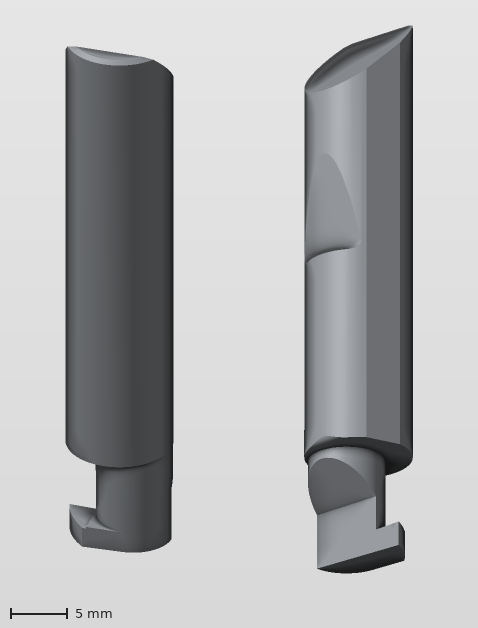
import cadquery as cq
import math

LENGTH = 50.8
SHANK_RADIUS = 4.8
SHANK_BOTTOM = 9.55
TOP_CHAMFER_HEIGHT = 0.3
TOP_CHAMFER_WIDTH = 0.45
TOP_SLOPE_START_Y = -3.0
SIDE_FLAT_TURN = 41.6
HEEL_ROUND = 0.6

NOTCH_BOTTOM = 27.5
NOTCH_TOP = 37.0
NOTCH_DEPTH = 1.4
NOTCH_ROUND = 0.8

NECK_RADIUS = 3.4
NECK_X = SHANK_RADIUS - NECK_RADIUS
NECK_SLOPE_BOTTOM = 5.35

TIP_X = -4.6
HEAD_TOP = 2.25
CORNER_X = -2.65
CORNER_Y = -3.15
HEAD_FRONT_X = -2.4
FLANK_BULGE = 0.25
CLEARANCE_X = 1.5
CLEARANCE_Y = 1.8

CUT_SPAN = 4 * SHANK_RADIUS


def cut_along_x(profile):
    """Extrude a closed YZ outline through the whole width of the part."""
    return profile.close().extrude(CUT_SPAN / 2, both=True)


def make_shank():
    shank = cq.Workplane("XY").workplane(offset=SHANK_BOTTOM).circle(SHANK_RADIUS)
    shank = shank.extrude(LENGTH - SHANK_BOTTOM)
    shank = shank.faces(">Z").chamfer(TOP_CHAMFER_HEIGHT, TOP_CHAMFER_WIDTH)

    flat_angle = 180 - SIDE_FLAT_TURN / 2
    flat_distance = SHANK_RADIUS * math.cos(math.radians(SIDE_FLAT_TURN / 2))
    flat_cutter = cq.Workplane("XY").box(CUT_SPAN, CUT_SPAN, LENGTH, centered=(False, True, False))
    flat_cutter = flat_cutter.translate((flat_distance, 0, 0))
    flat_cutter = flat_cutter.rotate((0, 0, 0), (0, 0, 1), flat_angle)
    return shank.cut(flat_cutter)


def make_end_slope():
    end_y = TOP_SLOPE_START_Y + CUT_SPAN
    return cut_along_x(
        cq.Workplane("YZ")
        .moveTo(TOP_SLOPE_START_Y, LENGTH)
        .lineTo(end_y, LENGTH - CUT_SPAN)
        .lineTo(end_y, LENGTH)
    )


def make_heel_cutter():
    arc_y = SHANK_RADIUS - HEEL_ROUND
    arc_z = SHANK_BOTTOM + HEEL_ROUND
    diagonal = HEEL_ROUND * math.sqrt(0.5)
    return cut_along_x(
        cq.Workplane("YZ")
        .moveTo(arc_y, SHANK_BOTTOM)
        .threePointArc((arc_y + diagonal, arc_z - diagonal), (SHANK_RADIUS, arc_z))
        .lineTo(SHANK_RADIUS, SHANK_BOTTOM)
    )


def make_notch():
    notch = cut_along_x(
        cq.Workplane("YZ")
        .moveTo(SHANK_RADIUS, NOTCH_TOP)
        .lineTo(SHANK_RADIUS - NOTCH_DEPTH, NOTCH_BOTTOM)
        .lineTo(SHANK_RADIUS, NOTCH_BOTTOM)
    )
    return notch.edges("|X").edges("<Y").fillet(NOTCH_ROUND)


def make_neck():
    neck = cq.Workplane("XY").center(NECK_X, 0).circle(NECK_RADIUS).extrude(SHANK_BOTTOM)
    relief = cut_along_x(
        cq.Workplane("YZ")
        .lineTo(0, NECK_SLOPE_BOTTOM)
        .lineTo(CUT_SPAN, NECK_SLOPE_BOTTOM + CUT_SPAN)
        .lineTo(CUT_SPAN, 0)
    )
    return neck.cut(relief)


def make_head():
    chord_x = CORNER_X - TIP_X
    chord_length = math.hypot(chord_x, CORNER_Y)
    flank_middle = (
        (TIP_X + CORNER_X) / 2 + FLANK_BULGE * CORNER_Y / chord_length,
        CORNER_Y / 2 - FLANK_BULGE * chord_x / chord_length,
    )
    return (
        cq.Workplane("XY")
        .moveTo(TIP_X, 0)
        .threePointArc(flank_middle, (CORNER_X, CORNER_Y))
        .lineTo(HEAD_FRONT_X, -NECK_RADIUS)
        .lineTo(NECK_X, -NECK_RADIUS)
        .lineTo(NECK_X, 0)
        .close()
        .extrude(HEAD_TOP)
    )


def make_bottom_clearance():
    """Block below the underside, which rises from the tip toward +X and -Y."""
    block = cq.Workplane("XY").box(2 * CUT_SPAN, 2 * CUT_SPAN, HEAD_TOP)
    block = block.translate((0, 0, -HEAD_TOP / 2))
    block = block.rotate((0, 0, 0), (1, 0, 0), -CLEARANCE_Y)
    block = block.rotate((0, 0, 0), (0, 1, 0), -CLEARANCE_X)
    return block.translate((TIP_X, 0, 0))


def make_top_clearance():
    """Mirrored clearance on top of the tip, ending in a small riser level with the neck."""
    clearance = make_bottom_clearance().mirror("XY").translate((0, 0, HEAD_TOP))
    riser_x = NECK_X - NECK_RADIUS
    tip_zone = cq.Workplane("XY").box(CUT_SPAN, CUT_SPAN, LENGTH)
    tip_zone = tip_zone.translate((riser_x - CUT_SPAN / 2, 0, 0))
    return clearance.intersect(tip_zone)


shank = make_shank().cut(make_end_slope()).cut(make_heel_cutter()).cut(make_notch())
tool_end = make_neck().union(make_head().cut(make_top_clearance())).cut(make_bottom_clearance())
result = shank.union(tool_end)